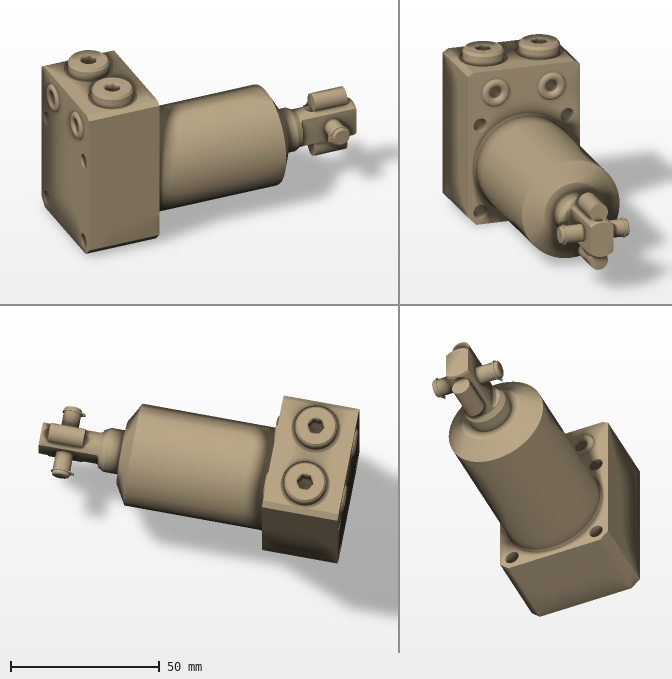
import cadquery as cq
import math


BLOCK_WIDTH = 40.0
BLOCK_DEPTH = 25.9
BLOCK_TOP = 34.5
BLOCK_BOTTOM = -20.0
TOP_BEVEL_WIDTH = 2.0
TOP_BEVEL_HEIGHT = 1.2
BOTTOM_BEVEL = 3.0
MOUNT_HOLE_OFFSET = 15.5
MOUNT_HOLE_RADIUS = 2.4

BARREL_RADIUS = 17.4
COLLAR_RADIUS = 18.0
COLLAR_LENGTH = 1.0
SHOULDER_Y = 73.6
NOSE_Y = 77.5
NOSE_HALF_ANGLE = 60
NOSE_RADIUS = BARREL_RADIUS - (NOSE_Y - SHOULDER_Y) * math.tan(math.radians(NOSE_HALF_ANGLE))

NECK_RADIUS = 7.5
NECK_END_Y = 82.6
ROD_RADIUS = 6.5
ROD_START_Y = 84.5
ROD_TIP_Y = 105.4
TIP_TAPER_LENGTH = 1.0
TIP_TAPER_DEPTH = 0.3
FLAT_X = 4.0
FLAT_START_Y = 84.7
FLAT_RUNOUT = 0.7

PIN_Y = 96.5
ROLLER_RADIUS = 3.2
ROLLER_LENGTH = 11.9
ROLLER_Z = 8.6

PIN_RADIUS = 3.0
PIN_LENGTH = 24.0
PIN_CHAMFER = 0.3
CLIP_X = 10.5
CLIP_THICKNESS = 0.4
CLIP_RADIUS = 3.4
EAR_REACH = 4.4
EAR_ROOT_Z = 2.4
EAR_TIP_Z = 1.4
EAR_SHOULDER = 3.7
EAR_GAP = 0.3
EAR_HOLE_RADIUS = 0.3
EAR_HOLE_Z = 0.7

PORT_X = 10.0
PORT_XS = (-PORT_X, PORT_X)
PORT_Z = 26.5
PORT_RADIUS = 2.5

RING_RADIUS = 5.0
RING_BORE_RADIUS = 2.0
RING_PROTRUSION = 0.8
CORD_RADIUS = (RING_RADIUS - RING_BORE_RADIUS) / 2
CORD_CIRCLE_RADIUS = RING_RADIUS - CORD_RADIUS
RING_INSET = CORD_RADIUS - RING_PROTRUSION
RING_SEAT_DEPTH = 2 * CORD_RADIUS - RING_PROTRUSION

PLUG_Y = BLOCK_DEPTH / 2
PLUG_TOP = 38.4
PLUG_RADIUS = 7.0
PLUG_BEVEL_HEIGHT = 1.0
PLUG_BEVEL_WIDTH = 0.6
STEM_RADIUS = 5.0
STEM_BOTTOM = 25.7
SPOTFACE_RADIUS = 8.3
SPOTFACE_DEPTH = 0.4
SPOTFACE_Z = BLOCK_TOP - SPOTFACE_DEPTH
SOCKET_CORNER_DIAMETER = 5.7
SOCKET_MOUTH_RADIUS = 3.0
HEX_HALF_ANGLE = 30
SOCKET_DEPTH = 4.8
SOCKET_POINT_ANGLE = 118


def cylinder_along_y(radius, y_start, y_end, x=0, z=0):
    return cq.Workplane("XZ", origin=(x, y_start, z)).circle(radius).extrude(y_start - y_end)


def cylinder_along_x(radius, length, x, y):
    return cq.Workplane("YZ", origin=(x, y, 0)).circle(radius).extrude(length / 2, both=True)


def turned_about_y(profile):
    """Revolve (radius, y) points about the Y axis."""
    return cq.Workplane("XY").polyline(profile).close().revolve(360, (0, 0), (0, 1))


def turned_about_z(profile):
    """Revolve (radius, z) points about the Z axis."""
    return cq.Workplane("XZ").polyline(profile).close().revolve(360, (0, 0), (0, 1))



def make_block():
    half_width = BLOCK_WIDTH / 2
    right_side = [
        (half_width - BOTTOM_BEVEL, BLOCK_BOTTOM),
        (half_width, BLOCK_BOTTOM + BOTTOM_BEVEL),
        (half_width, BLOCK_TOP - TOP_BEVEL_HEIGHT),
        (half_width - TOP_BEVEL_WIDTH, BLOCK_TOP),
    ]
    left_side = [(-x, z) for x, z in reversed(right_side)]
    block = cq.Workplane("XZ").polyline(right_side + left_side).close().extrude(-BLOCK_DEPTH)
    for x in (-MOUNT_HOLE_OFFSET, MOUNT_HOLE_OFFSET):
        for z in (-MOUNT_HOLE_OFFSET, MOUNT_HOLE_OFFSET):
            block = block.cut(cylinder_along_y(MOUNT_HOLE_RADIUS, 0, BLOCK_DEPTH, x, z))
    for x in PORT_XS:
        block = cut_port(block, x)
        block = cut_plug_hole(block, x)
    return block


def cut_port(block, x):
    """Through port with an O-ring seat in each end."""
    back_seat_y = BLOCK_DEPTH - RING_SEAT_DEPTH
    block = block.cut(cylinder_along_y(PORT_RADIUS, 0, BLOCK_DEPTH, x, PORT_Z))
    block = block.cut(cylinder_along_y(RING_RADIUS, 0, RING_SEAT_DEPTH, x, PORT_Z))
    return block.cut(cylinder_along_y(RING_RADIUS, back_seat_y, BLOCK_DEPTH, x, PORT_Z))


def cut_plug_hole(block, x):
    """Spotfaced hole from the top, ending level with the bottom of the plug."""
    hole = turned_about_z([
        (0, STEM_BOTTOM),
        (STEM_RADIUS, STEM_BOTTOM),
        (STEM_RADIUS, SPOTFACE_Z),
        (SPOTFACE_RADIUS, SPOTFACE_Z),
        (SPOTFACE_RADIUS, BLOCK_TOP),
        (0, BLOCK_TOP),
    ])
    return block.cut(hole.translate((x, PLUG_Y, 0)))


def make_barrel():
    return turned_about_y([
        (0, BLOCK_DEPTH),
        (COLLAR_RADIUS, BLOCK_DEPTH),
        (BARREL_RADIUS, BLOCK_DEPTH + COLLAR_LENGTH),
        (BARREL_RADIUS, SHOULDER_Y),
        (NOSE_RADIUS, NOSE_Y),
        (0, NOSE_Y),
    ])


def make_rod():
    rod = turned_about_y([
        (0, NOSE_Y),
        (NECK_RADIUS, NOSE_Y),
        (NECK_RADIUS, NECK_END_Y),
        (ROD_RADIUS, ROD_START_Y),
        (ROD_RADIUS, ROD_TIP_Y - TIP_TAPER_LENGTH),
        (ROD_RADIUS - TIP_TAPER_DEPTH, ROD_TIP_Y),
        (0, ROD_TIP_Y),
    ])
    for side in (-1, 1):
        beside_flat = [
            (side * FLAT_X, ROD_TIP_Y),
            (side * FLAT_X, FLAT_START_Y + FLAT_RUNOUT),
            (side * (FLAT_X + FLAT_RUNOUT), FLAT_START_Y),
            (side * ROD_RADIUS, FLAT_START_Y),
            (side * ROD_RADIUS, ROD_TIP_Y),
        ]
        rod = rod.cut(cq.Workplane("XY").polyline(beside_flat).close().extrude(ROD_RADIUS, both=True))
    return rod


def add_roller(rod, z):
    """Roller bedded in a ball-ended groove of its own radius."""
    ends = (PIN_Y - ROLLER_LENGTH / 2, PIN_Y + ROLLER_LENGTH / 2)
    for y in ends:
        rod = rod.cut(cq.Workplane("XY", origin=(0, y, z)).sphere(ROLLER_RADIUS))
    return rod.union(cylinder_along_y(ROLLER_RADIUS, *ends, z=z))


def make_clip(x):
    """Retaining clip with two drilled ears that point back along the rod, split by a narrow gap."""
    clip = cylinder_along_x(CLIP_RADIUS, CLIP_THICKNESS, x, PIN_Y)
    mid_plane = cq.Workplane("YZ", origin=(x, PIN_Y, 0))
    root_y = -math.sqrt(CLIP_RADIUS**2 - EAR_ROOT_Z**2)
    ears = mid_plane.polyline([
        (root_y, -EAR_ROOT_Z),
        (root_y, EAR_ROOT_Z),
        (-EAR_SHOULDER, EAR_TIP_Z),
        (-EAR_REACH, EAR_TIP_Z),
        (-EAR_REACH, -EAR_TIP_Z),
        (-EAR_SHOULDER, -EAR_TIP_Z),
    ]).close()
    ears = ears.extrude(CLIP_THICKNESS / 2, both=True)
    gap = mid_plane.center(-EAR_REACH / 2, 0).rect(EAR_REACH, EAR_GAP)
    ear_holes = mid_plane.pushPoints([(-EAR_SHOULDER, -EAR_HOLE_Z), (-EAR_SHOULDER, EAR_HOLE_Z)])
    clip = clip.union(ears)
    clip = clip.cut(gap.extrude(CLIP_THICKNESS / 2, both=True))
    return clip.cut(ear_holes.circle(EAR_HOLE_RADIUS).extrude(CLIP_THICKNESS / 2, both=True))


def make_cross_pin():
    pin = cylinder_along_x(PIN_RADIUS, PIN_LENGTH, 0, PIN_Y)
    pin = pin.faces("<X or >X").chamfer(PIN_CHAMFER)
    for x in (-CLIP_X, CLIP_X):
        pin = pin.union(make_clip(x))
    return pin


def make_cylinder_body():
    rod = make_rod()
    for z in (-ROLLER_Z, ROLLER_Z):
        rod = add_roller(rod, z)
    rod = rod.union(make_cross_pin())
    return make_block().union(make_barrel()).union(rod)



def make_plug(x):
    plug = turned_about_z([
        (0, STEM_BOTTOM),
        (STEM_RADIUS, STEM_BOTTOM),
        (STEM_RADIUS, SPOTFACE_Z),
        (PLUG_RADIUS, SPOTFACE_Z),
        (PLUG_RADIUS, PLUG_TOP - PLUG_BEVEL_HEIGHT),
        (PLUG_RADIUS - PLUG_BEVEL_WIDTH, PLUG_TOP),
        (0, PLUG_TOP),
    ])
    return cut_hex_socket(plug).translate((x, PLUG_Y, 0))


def cut_hex_socket(plug):
    """Hexagon socket with corners along Y, a conical mouth and a drill-point bottom."""
    mouth = turned_about_z([
        (0, PLUG_TOP),
        (SOCKET_MOUTH_RADIUS, PLUG_TOP),
        (0, PLUG_TOP - SOCKET_MOUTH_RADIUS),
    ])
    hexagon = cq.Workplane("XY", origin=(0, 0, PLUG_TOP)).polygon(6, SOCKET_CORNER_DIAMETER)
    hexagon = hexagon.extrude(-SOCKET_DEPTH).rotate((0, 0, 0), (0, 0, 1), HEX_HALF_ANGLE)
    point_radius = SOCKET_CORNER_DIAMETER / 2 * math.cos(math.radians(HEX_HALF_ANGLE))
    point_height = point_radius / math.tan(math.radians(SOCKET_POINT_ANGLE / 2))
    socket_bottom = PLUG_TOP - SOCKET_DEPTH
    point = turned_about_z([
        (0, socket_bottom),
        (point_radius, socket_bottom),
        (0, socket_bottom - point_height),
    ])
    return plug.cut(mouth).cut(hexagon).cut(point)



def make_o_ring(x, y):
    centre = cq.Vector(x, y, PORT_Z)
    along_port = cq.Vector(0, 1, 0)
    return cq.Solid.makeTorus(CORD_CIRCLE_RADIUS, CORD_RADIUS, centre, along_port)


cylinder_body = make_cylinder_body()
plugs = [make_plug(x).val() for x in PORT_XS]
o_rings = []
for port_x in PORT_XS:
    for ring_y in (RING_INSET, BLOCK_DEPTH - RING_INSET):
        o_rings.append(make_o_ring(port_x, ring_y))

result = cq.Compound.makeCompound([cylinder_body.val(), *plugs, *o_rings])